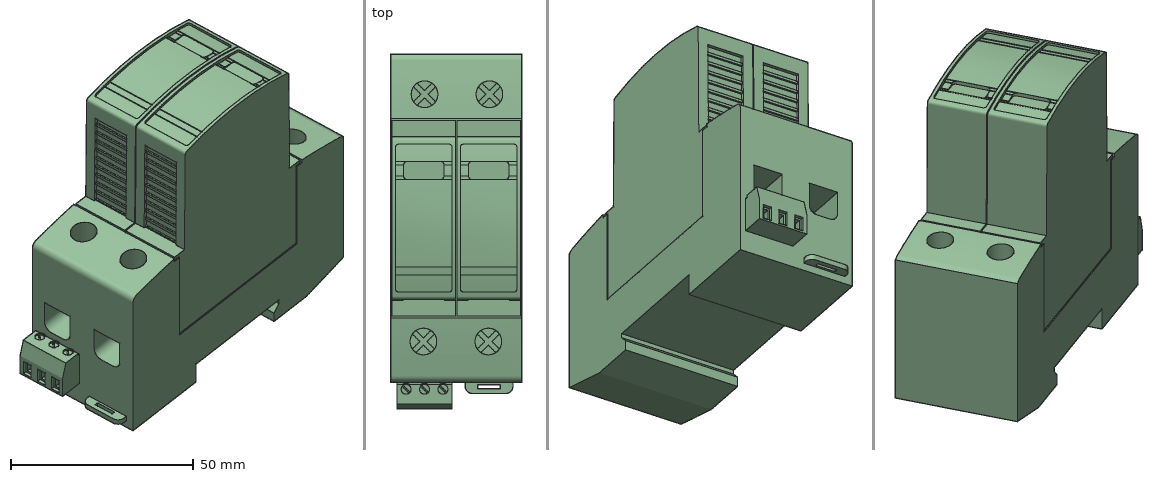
import math

import cadquery as cq


width = 36.0
half_width = width / 2
half_depth = 45.0
shoulder_half = 27.2
shoulder_z = 50.4
crown_radius = 237.0
front_round = 2.0
rear_bevel_depth = 1.5
rear_bevel_z = 47.2
ramp_start_y = 29.2
ramp_end_z = 3.75

notch_rear_y = 17.4
notch_front_y = -18.0
notch_top_z = 6.4
hook_y = 15.3
hook_bottom_z = 3.0
hook_top_z = 5.1

pole_pitch = 17.8
pole_centres = (-pole_pitch / 2, pole_pitch / 2)
module_gap = 0.3
module_width = pole_pitch - module_gap
modules_half_width = pole_pitch - module_gap / 2
module_shift_y = -0.1
module_half_base = 22.5
module_half_top = 22.15
module_apex_z = 87.81
module_crown_radius = 90.0
module_round = 1.0
socket_half = 25.1
socket_floor_z = 21.6
flange_half = 26.8
flange_bottom_z = 49.4
seam_width = 0.5

label_width = 15.5
label_rear_y = 20.4
label_front_y = -20.1
label_corner = 0.8
label_depth = 0.7
shallow_step = 0.2
band_rear_y = 15.7
band_front_y = 10.7
window_width = 11.1
window_floor_z = 85.4
window_corner = 1.0
band_end_length = 3.0
stripe_rear_y = -13.3
stripe_front_y = -15.4

vent_width = 11.3
vent_top_z = 79.9
vent_depth = 1.0
rib_height = 0.8
rib_proud = 0.5
rib_pitch = 3.0
rib_count = 10
first_rib_z = 77.4

screw_diameter = 7.3
screw_head_z = 40.0
screw_slot_width = 1.4
screw_slot_depth = 1.0
rear_screw_y = 34.0
front_screw_y = -33.8
rear_screw_shift = 0.2
front_screw_shift = -0.1
entry_width = 9.1
entry_top_z = 28.9
entry_bottom_z = 19.4
entry_round = 2.6
entry_depth = 12.0
entry_shift = -0.2

block_left = -16.3
block_width = 15.2
block_bottom_z = 6.7
block_top_z = 17.8
block_face_top_z = 13.1
block_reach = 7.28
block_top_reach = 5.9
block_bevel = 0.7
block_bevel_reach = 0.18
way_pitch = 5.05
way_centres = [block_left + block_width / 2 + step * way_pitch for step in (-1, 0, 1)]
way_screw_diameter = 2.7
way_screw_reach = 1.9
way_screw_depth = 0.5
way_slot_width = 0.4
way_collar_diameter = 3.3
block_step_width = 0.6
block_step_depth = 0.6
way_window_width = 2.6
way_window_height = 4.3
way_window_z = 9.5
way_window_depth = 1.0
way_bore_width = 1.5
way_bore_height = 3.1
way_bore_depth = 3.0

latch_left = 2.4
latch_width = 13.2
latch_bottom_z = 2.35
latch_thickness = 1.6
latch_reach = 3.1
latch_corner = 2.1
latch_slot_left = 5.9
latch_slot_width = 6.1
latch_slot_depth = 1.0
latch_slot_reach = 1.2
nose_reach = 3.2
nose_top_z = 5.8
nose_tip_z = 5.4
nose_bottom_z = 2.9


def crown_z(apex_z, radius, y):
    """Height at depth y of a crown arc centred on Y = 0."""
    return apex_z - radius + math.sqrt(radius**2 - y**2)


def box(x_range, y_range, z_range):
    """Box between pairs of coordinates."""
    size = [high - low for low, high in (x_range, y_range, z_range)]
    corner = (x_range[0], y_range[0], z_range[0])
    return cq.Workplane("XY").box(*size, centered=False).translate(corner)


def centred(middle, length):
    """Coordinate pair of the given length about a middle."""
    return (middle - length / 2, middle + length / 2)


def side_profile(x_start):
    """Sketch plane whose local axes are Y and Z."""
    return cq.Workplane("YZ", origin=(x_start, 0, 0))


def housing():
    apex_z = shoulder_z + crown_radius - math.sqrt(crown_radius**2 - shoulder_half**2)
    bevel_y = half_depth - rear_bevel_depth
    rear_mid = (bevel_y + shoulder_half) / 2
    front_mid = -(half_depth + shoulder_half) / 2

    def top_point(y):
        return (y, crown_z(apex_z, crown_radius, y))

    body = (
        side_profile(-half_width)
        .moveTo(-half_depth, 0)
        .lineTo(notch_front_y, 0)
        .lineTo(notch_front_y, notch_top_z)
        .lineTo(notch_rear_y, notch_top_z)
        .lineTo(notch_rear_y, hook_top_z)
        .lineTo(hook_y, hook_bottom_z)
        .lineTo(hook_y, 0)
        .lineTo(ramp_start_y, 0)
        .lineTo(half_depth, ramp_end_z)
        .lineTo(half_depth, rear_bevel_z)
        .lineTo(*top_point(bevel_y))
        .threePointArc(top_point(rear_mid), top_point(shoulder_half))
        .lineTo(-shoulder_half, shoulder_z)
        .threePointArc(top_point(front_mid), top_point(-half_depth))
        .close()
        .extrude(width)
    )
    front_corner = cq.selectors.NearestToPointSelector((0, *top_point(-half_depth)))
    return body.edges(front_corner).fillet(front_round)


def socket_relief():
    """Thin strips that set the module sides and flanges back from the housing sides, and the seams."""
    relief = None
    for side in (-1, 1):
        x_range = sorted((side * modules_half_width, side * half_width))
        strip = box(x_range, (-socket_half, socket_half), (socket_floor_z, shoulder_z))
        flange = box(x_range, (-flange_half, flange_half), (flange_bottom_z, shoulder_z))
        seam_range = centred(side * (flange_half + seam_width / 2), seam_width)
        seam = box((-half_width, half_width), seam_range, (flange_bottom_z, shoulder_z))
        strips = strip.union(flange).union(seam)
        relief = strips if relief is None else relief.union(strips)
    gap = box(centred(0, module_gap), (-flange_half, flange_half), (flange_bottom_z, shoulder_z))
    return relief.union(gap)


def below_crown(depth, x_range, y_range):
    """Layer of a module top, from the given depth below the crown upward, over a rectangle."""
    low_radius = module_crown_radius - depth
    centre_z = module_apex_z - module_crown_radius
    block = box(x_range, y_range, (shoulder_z, module_apex_z + module_round))
    core = side_profile(x_range[0]).center(0, centre_z).circle(low_radius).extrude(x_range[1] - x_range[0])
    return block.cut(core)


def module_body(x_centre):
    top_z = crown_z(module_apex_z, module_crown_radius, module_half_top)
    body = (
        side_profile(x_centre - module_width / 2)
        .moveTo(-module_half_base, flange_bottom_z)
        .lineTo(module_half_base, flange_bottom_z)
        .lineTo(module_half_top, top_z)
        .threePointArc((0, module_apex_z), (-module_half_top, top_z))
        .close()
        .extrude(module_width)
    )
    for y in (-module_half_top, module_half_top):
        corner = cq.selectors.NearestToPointSelector((x_centre, y, top_z))
        body = body.edges(corner).fillet(module_round)
    return body


def label_recess(x_centre):
    """Recessed label field with its grip band, window and stripe."""
    x_range = centred(x_centre, label_width)
    band_depth = label_depth + shallow_step
    inner_depth = band_depth + shallow_step
    recess = below_crown(label_depth, x_range, (label_front_y, label_rear_y)).edges("|Z").fillet(label_corner)
    band = below_crown(band_depth, x_range, (band_front_y, band_rear_y))
    ends_y = centred((band_front_y + band_rear_y) / 2, band_end_length)
    ends = below_crown(inner_depth, x_range, ends_y)
    window_x = centred(x_centre, window_width)
    window = box(window_x, (band_front_y, band_rear_y), (window_floor_z, module_apex_z))
    window = window.edges("|Z").fillet(window_corner)
    stripe = below_crown(band_depth, x_range, (stripe_front_y, stripe_rear_y))
    return recess.union(band).union(ends).union(window).union(stripe)


def vent_panel(x_centre):
    """Recess in the module front, less the horizontal ribs that stand on its floor."""
    x_range = centred(x_centre, vent_width)
    slope = (module_half_base - module_half_top) / (module_apex_z - shoulder_z)

    def layer(depth, z_range):
        """Cut that follows the drafted front face at the given depth."""
        points = []
        for z in z_range:
            points.append((-module_half_base + slope * (z - shoulder_z) + depth, z))
        return (
            side_profile(x_range[0])
            .moveTo(-half_depth, z_range[0])
            .lineTo(*points[0])
            .lineTo(*points[1])
            .lineTo(-half_depth, z_range[1])
            .close()
            .extrude(vent_width)
        )

    panel = layer(vent_depth, (shoulder_z, vent_top_z))
    for index in range(rib_count):
        z_range = centred(first_rib_z - index * rib_pitch, rib_height)
        rib = layer(vent_depth, z_range).cut(layer(vent_depth - rib_proud, z_range))
        panel = panel.cut(rib)
    return panel


def module(x_centre):
    body = module_body(x_centre).cut(label_recess(x_centre)).cut(vent_panel(x_centre))
    return body.translate((0, module_shift_y, 0))


def clamp_screw(x, y):
    """Bore down to a screw head with a cross recess turned 45 degrees."""
    head = cq.Workplane("XY", origin=(x, y, screw_head_z))
    bore = head.circle(screw_diameter / 2).extrude(shoulder_z - screw_head_z)
    disc = head.circle(screw_diameter / 2).extrude(-screw_slot_depth)
    for angle in (45, -45):
        arm = head.transformed(rotate=(0, 0, angle)).rect(screw_diameter, screw_slot_width)
        bore = bore.union(arm.extrude(-screw_slot_depth).intersect(disc))
    return bore


def wire_entry(x_centre):
    entry = box(
        centred(x_centre, entry_width),
        (-half_depth, -half_depth + entry_depth),
        (entry_bottom_z, entry_top_z),
    )
    return entry.edges("|Y and <Z").fillet(entry_round)


def terminal_block():
    front_y = -half_depth - block_reach
    top_front_y = -half_depth - block_top_reach
    block = (
        side_profile(block_left)
        .moveTo(-half_depth, block_bottom_z)
        .lineTo(front_y, block_bottom_z)
        .lineTo(front_y, block_face_top_z)
        .lineTo(top_front_y - block_bevel_reach, block_top_z - block_bevel)
        .lineTo(top_front_y, block_top_z)
        .lineTo(-half_depth, block_top_z)
        .close()
        .extrude(block_width)
    )
    block = block.cut(rear_step())
    for x in way_centres:
        block = block.cut(way_screw(x)).cut(way_opening(x, front_y))
    return block


def rear_step():
    """Step along the rear top edge of the block, interrupted by a collar around each screw."""
    step = box(
        (block_left, block_left + block_width),
        (-half_depth - block_step_width, -half_depth),
        (block_top_z - block_step_depth, block_top_z),
    )
    for x in way_centres:
        collar = cq.Workplane("XY", origin=(x, -half_depth - way_screw_reach, 0))
        step = step.cut(collar.circle(way_collar_diameter / 2).extrude(block_top_z))
    return step


def way_screw(x):
    """Round seat of a small slotted screw, with its slot at 45 degrees."""
    floor_z = block_top_z - way_screw_depth
    floor = cq.Workplane("XY", origin=(x, -half_depth - way_screw_reach, floor_z))
    seat = floor.circle(way_screw_diameter / 2).extrude(way_screw_depth)
    slot = floor.transformed(rotate=(0, 0, -45)).rect(way_screw_diameter, way_slot_width)
    return seat.union(slot.extrude(-way_screw_depth))


def way_opening(x, front_y):
    """Stepped rectangular wire opening."""
    window = box(
        centred(x, way_window_width),
        (front_y, front_y + way_window_depth),
        centred(way_window_z, way_window_height),
    )
    bore = box(
        centred(x, way_bore_width),
        (front_y, front_y + way_bore_depth),
        centred(way_window_z, way_bore_height),
    )
    return window.union(bore)


def latch():
    """Slotted pull tab at the front and wedge nose inside the rail notch."""
    x_range = (latch_left, latch_left + latch_width)
    z_range = (latch_bottom_z, latch_bottom_z + latch_thickness)
    tab = box(x_range, (-half_depth - latch_reach, -half_depth), z_range)
    tab = tab.edges("|Z and <Y").fillet(latch_corner)
    slot_rear_y = -half_depth - latch_slot_reach + latch_slot_depth / 2
    slot = box(
        (latch_slot_left, latch_slot_left + latch_slot_width),
        (slot_rear_y - latch_slot_depth, slot_rear_y),
        z_range,
    )
    nose = (
        side_profile(latch_left)
        .moveTo(notch_front_y, nose_bottom_z)
        .lineTo(notch_front_y, nose_top_z)
        .lineTo(notch_front_y + nose_reach, nose_tip_z)
        .close()
        .extrude(latch_width)
    )
    return tab.cut(slot).union(nose)


result = housing().cut(socket_relief())
for pole_x in pole_centres:
    result = result.union(module(pole_x))
    result = result.cut(clamp_screw(pole_x + rear_screw_shift, rear_screw_y))
    result = result.cut(clamp_screw(pole_x + front_screw_shift, front_screw_y))
    result = result.cut(wire_entry(pole_x + entry_shift))
result = result.union(terminal_block()).union(latch())